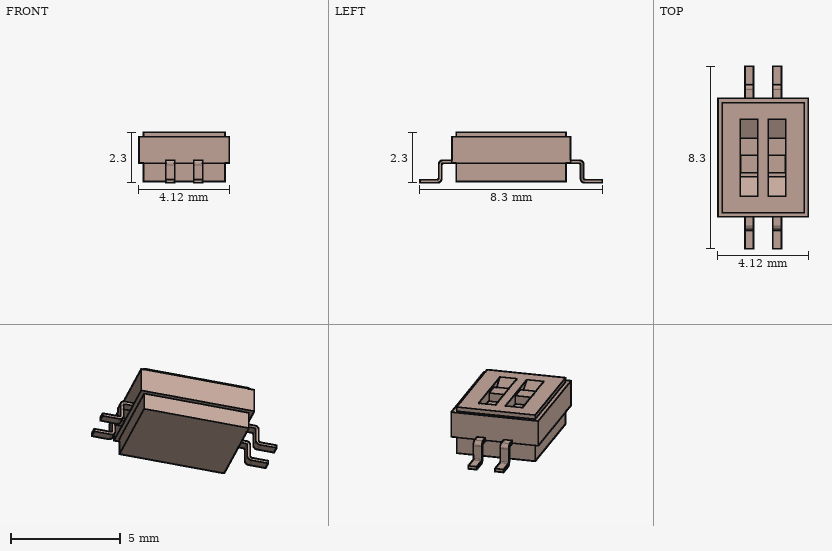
import cadquery as cq

base_bottom = 0.05
body_bottom = 0.9
body_top = 2.1
cover_top = 2.3

body_width = 4.12
body_length = 5.4
step = 0.2
inner_width = body_width - 2 * step
inner_length = body_length - 2 * step

pitch = 1.27
switch_xs = (-pitch / 2, pitch / 2)

slot_width = 0.8
slot_length = 3.5
slot_floor_length = 1.76
slot_depth = 0.5

actuator_clearance = 0.02
actuator_width = slot_width - actuator_clearance
actuator_length = 0.8
actuator_drop = 0.1
actuator_y = -0.29
actuator_pitch = pitch - actuator_clearance
actuator_xs = (-actuator_pitch / 2, actuator_pitch / 2)

pin_span = 8.3
pin_width = 0.4
pin_thickness = 0.15
pin_outer_radius = 0.2
pin_inner_radius = pin_outer_radius - pin_thickness
pin_top = 1.03
pin_leg_outer_y = 3.3


def block(width, length, bottom, top):
    """Rectangular block centred on the Z axis."""
    return cq.Workplane("XY", origin=(0, 0, bottom)).rect(width, length).extrude(top - bottom)


def make_housing():
    """Base, wider body and raised cover stacked on each other."""
    base = block(inner_width, inner_length, base_bottom, body_bottom)
    body = block(body_width, body_length, body_bottom, body_top)
    cover = block(inner_width, inner_length, body_top, cover_top)
    return base.union(body).union(cover)


def make_slot(x):
    """Cutter for one slot: flat floor with ramps rising to both ends."""
    floor_z = cover_top - slot_depth
    return (
        cq.Workplane("YZ", origin=(x - slot_width / 2, 0, 0))
        .moveTo(-slot_length / 2, cover_top)
        .lineTo(-slot_floor_length / 2, floor_z)
        .lineTo(slot_floor_length / 2, floor_z)
        .lineTo(slot_length / 2, cover_top)
        .close()
        .extrude(slot_width)
    )


def make_actuator(x):
    """Actuator block standing on the slot floor, its top below the cover face."""
    floor_z = cover_top - slot_depth
    top_z = cover_top - actuator_drop
    return block(actuator_width, actuator_length, floor_z, top_z).translate((x, actuator_y, 0))


def make_pin(x):
    """Gull-wing pin on the +Y side, joined to the body end face: shoulder, upright leg and foot."""
    start_y = body_length / 2
    end_y = pin_span / 2
    leg_inner_y = pin_leg_outer_y - pin_thickness
    shoulder_bottom = pin_top - pin_thickness
    return (
        cq.Workplane("YZ", origin=(x - pin_width / 2, 0, 0))
        .moveTo(start_y, pin_top)
        .lineTo(pin_leg_outer_y - pin_outer_radius, pin_top)
        .radiusArc((pin_leg_outer_y, pin_top - pin_outer_radius), pin_outer_radius)
        .lineTo(pin_leg_outer_y, pin_thickness + pin_inner_radius)
        .radiusArc((pin_leg_outer_y + pin_inner_radius, pin_thickness), -pin_inner_radius)
        .lineTo(end_y, pin_thickness)
        .lineTo(end_y, 0)
        .lineTo(leg_inner_y + pin_outer_radius, 0)
        .radiusArc((leg_inner_y, pin_outer_radius), pin_outer_radius)
        .lineTo(leg_inner_y, shoulder_bottom - pin_inner_radius)
        .radiusArc((leg_inner_y - pin_inner_radius, shoulder_bottom), -pin_inner_radius)
        .lineTo(start_y, shoulder_bottom)
        .close()
        .extrude(pin_width)
    )


result = make_housing()

for x in switch_xs:
    result = result.cut(make_slot(x))

for x in actuator_xs:
    result = result.union(make_actuator(x))

for x in switch_xs:
    pin = make_pin(x)
    result = result.union(pin).union(pin.mirror("XZ"))